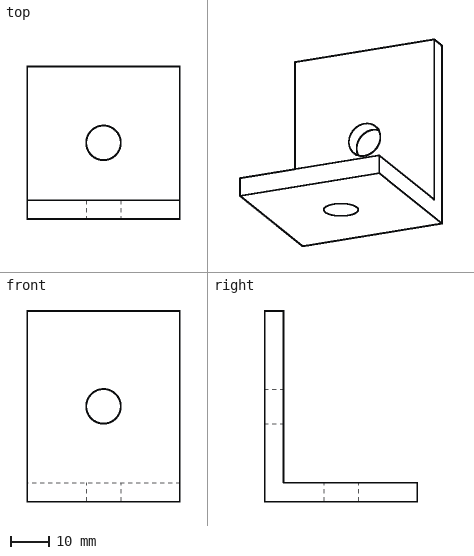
import cadquery as cq

width = 40.0
base_length = 40.0
height = 50.0
thickness = 5.0
hole_diameter = 9.0

hole_y = base_length / 2
hole_z = height / 2
hole_radius = hole_diameter / 2


def angle_bracket():
    """L-shaped profile in the YZ plane, extruded evenly about X = 0."""
    profile = [
        (0, 0),
        (base_length, 0),
        (base_length, thickness),
        (thickness, thickness),
        (thickness, height),
        (0, height),
    ]
    return cq.Workplane("YZ").polyline(profile).close().extrude(width / 2, both=True)


def base_hole():
    """Vertical cutter through the base plate only."""
    return cq.Workplane("XY").center(0, hole_y).circle(hole_radius).extrude(thickness)


def upright_hole():
    """Cutter along Y through the upright plate only."""
    return cq.Workplane("XZ").center(0, hole_z).circle(hole_radius).extrude(-thickness)


result = angle_bracket().cut(base_hole()).cut(upright_hole())